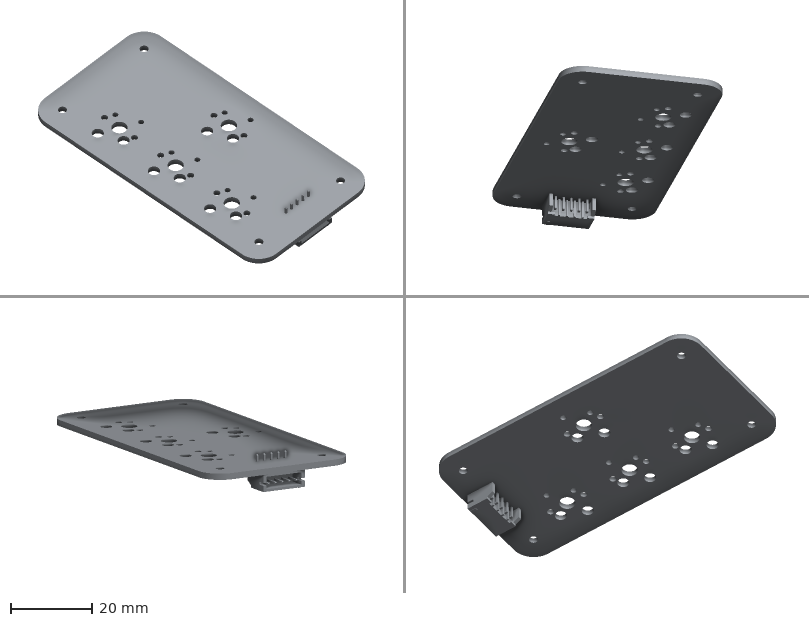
import cadquery as cq

BOARD_LENGTH = 78.55
BOARD_WIDTH = 41.2
BOARD_THICKNESS = 1.6
BOARD_CORNER_RADIUS = 6.0

MOUNT_HOLE_DIAMETER = 2.2
MOUNT_HOLE_X = 33.3
MOUNT_HOLE_Y = 14.6

SWITCH_ROW_SPAN = 38.1
SWITCH_PITCH = SWITCH_ROW_SPAN / 2
SWITCH_CENTRE_X = 0.15
SWITCH_CENTRE_Y = -9.4
GRID_STEPS_PER_PITCH = 15
GRID = SWITCH_PITCH / GRID_STEPS_PER_PITCH
SWITCH_POST_DIAMETER = 4.0
SWITCH_PEG_DIAMETER = 1.7
SWITCH_PIN_DIAMETER = 1.5
SOCKET_HOLE_DIAMETER = 3.0

PIN_COUNT = 5
PIN_ROW_LENGTH = 8.0
PIN_PITCH = PIN_ROW_LENGTH / (PIN_COUNT - 1)
PIN_SIZE = 0.5
PIN_HOLE_DIAMETER = 0.75
PIN_X = 31.2
PIN_TOP_Z = 3.4
PIN_TIP_X = 36.85
PIN_LEVEL_Z = -3.1
PIN_BEND_RADIUS = 0.2
PIN_TAPER_LENGTH = 0.2
PIN_TIP_SIZE = 0.15
CONNECTOR_Y = 1.3

HOUSING_BACK_X = 29.8
HOUSING_FRONT_X = 37.4
HOUSING_WIDTH = 11.9
HOUSING_HEIGHT = 4.8
HOUSING_TOP_GAP = 0.4
FOOT_BACK_X = 31.4
FOOT_TOP_Z = -4.2
FOOT_WIDTH = 1.8
CHEEK_WIDTH = 0.95
CHEEK_BACK_BOTTOM_Z = -3.2

CORE_BACK_X = 31.9
CORE_DRAFT = 0.15
BAND_TOP_Z = -2.5
BAND_BOTTOM_Z = -3.5
RIB_WIDTH = 0.5
END_RIB_WIDTH = 0.15

CAVITY_BACK_X = 33.0
CAVITY_WALL = 0.6
SLOT_BACK_X = 35.5
SLOT_TOP_Z = -2.5
SLOT_BOTTOM_Z = -3.2

MARK_BACK_X = 35.7
MARK_WIDTH = 0.8
MARK_HEIGHT = 0.1
MARK_OUTER_INSET = 1.0


def block(x_range, y_range, z_range):
    """Box between the given limits on each axis."""
    (x0, x1), (y0, y1), (z0, z1) = x_range, y_range, z_range
    return cq.Workplane("XY").box(x1 - x0, y1 - y0, z1 - z0, centered=False).translate((x0, y0, z0))


def side_profile(points, y_min, y_max):
    """Solid with the given X-Z outline, running from y_min to y_max."""
    outline = cq.Workplane("XZ", origin=(0, y_max, 0)).polyline(points).close()
    return outline.extrude(y_max - y_min)


def pin_positions():
    first = CONNECTOR_Y - PIN_ROW_LENGTH / 2
    return [first + PIN_PITCH * i for i in range(PIN_COUNT)]


def switch_holes(x, y):
    """(diameter, centres) of every hole under one key switch."""
    return [
        (SWITCH_POST_DIAMETER, [(x, y)]),
        (SWITCH_PEG_DIAMETER, [(x - 4 * GRID, y), (x + 4 * GRID, y)]),
        (SWITCH_PIN_DIAMETER, [(x - 3 * GRID, y + 2 * GRID), (x + 2 * GRID, y + 4 * GRID)]),
        (SOCKET_HOLE_DIAMETER, [(x + 3 * GRID, y - 2 * GRID), (x - 2 * GRID, y - 4 * GRID)]),
    ]


def make_board():
    board = cq.Workplane("XY").box(BOARD_LENGTH, BOARD_WIDTH, BOARD_THICKNESS, centered=(True, True, False))
    board = board.edges("|Z").fillet(BOARD_CORNER_RADIUS)

    mounts = [(sx * MOUNT_HOLE_X, sy * MOUNT_HOLE_Y) for sx in (-1, 1) for sy in (-1, 1)]
    pin_holes = [(PIN_X, y) for y in pin_positions()]
    holes = [(MOUNT_HOLE_DIAMETER, mounts), (PIN_HOLE_DIAMETER, pin_holes)]
    for column, row in [(-1, 0), (0, 0), (1, 0), (0, 1)]:
        holes += switch_holes(SWITCH_CENTRE_X + column * SWITCH_PITCH, SWITCH_CENTRE_Y + row * SWITCH_PITCH)

    for diameter, centres in holes:
        cutter = cq.Workplane("XY").pushPoints(centres).circle(diameter / 2).extrude(BOARD_THICKNESS)
        board = board.cut(cutter)
    return board


def make_core(y_min, y_max):
    """Middle of the housing; its back face leans in above and below a flat band."""
    points = [
        (CORE_BACK_X + CORE_DRAFT, -HOUSING_TOP_GAP),
        (CORE_BACK_X, BAND_TOP_Z),
        (CORE_BACK_X, BAND_BOTTOM_Z),
        (CORE_BACK_X + CORE_DRAFT, -HOUSING_HEIGHT),
        (HOUSING_FRONT_X, -HOUSING_HEIGHT),
        (HOUSING_FRONT_X, -HOUSING_TOP_GAP),
    ]
    return side_profile(points, y_min, y_max)


def make_cheek(y_min, y_max):
    """End wall of the housing, reaching up to the board and cut away at its lower back corner."""
    points = [
        (HOUSING_BACK_X, 0),
        (HOUSING_BACK_X, CHEEK_BACK_BOTTOM_Z),
        (FOOT_BACK_X, FOOT_TOP_Z),
        (FOOT_BACK_X, -HOUSING_HEIGHT),
        (HOUSING_FRONT_X, -HOUSING_HEIGHT),
        (HOUSING_FRONT_X, 0),
    ]
    return side_profile(points, y_min, y_max)


def make_housing():
    y_min = CONNECTOR_Y - HOUSING_WIDTH / 2
    y_max = CONNECTOR_Y + HOUSING_WIDTH / 2
    housing = make_core(y_min, y_max)
    housing = housing.union(make_cheek(y_min, y_min + CHEEK_WIDTH))
    housing = housing.union(make_cheek(y_max - CHEEK_WIDTH, y_max))

    for y0, y1 in [(y_min, y_min + FOOT_WIDTH), (y_max - FOOT_WIDTH, y_max)]:
        foot = block((FOOT_BACK_X, HOUSING_FRONT_X), (y0, y1), (-HOUSING_HEIGHT, FOOT_TOP_Z))
        housing = housing.union(foot)

    rib_spans = []
    for y in pin_positions()[:-1]:
        rib_y = y + PIN_PITCH / 2
        rib_spans.append((rib_y - RIB_WIDTH / 2, rib_y + RIB_WIDTH / 2))
    rib_spans.append((y_min + CHEEK_WIDTH, y_min + CHEEK_WIDTH + END_RIB_WIDTH))
    rib_spans.append((y_max - CHEEK_WIDTH - END_RIB_WIDTH, y_max - CHEEK_WIDTH))
    for span in rib_spans:
        rib = block((FOOT_BACK_X, HOUSING_FRONT_X), span, (-HOUSING_HEIGHT, -HOUSING_TOP_GAP))
        housing = housing.union(rib)

    cavity = block(
        (CAVITY_BACK_X, HOUSING_FRONT_X),
        (y_min + CHEEK_WIDTH, y_max - CHEEK_WIDTH),
        (-HOUSING_HEIGHT + CAVITY_WALL, -HOUSING_TOP_GAP - CAVITY_WALL),
    )
    slot = block((SLOT_BACK_X, HOUSING_FRONT_X), (y_min, y_max), (SLOT_BOTTOM_Z, SLOT_TOP_Z))
    housing = housing.cut(cavity).cut(slot)

    mark_y = y_max - MARK_OUTER_INSET
    mark = block(
        (MARK_BACK_X, HOUSING_FRONT_X),
        (mark_y - MARK_WIDTH, mark_y),
        (-HOUSING_HEIGHT - MARK_HEIGHT, -HOUSING_HEIGHT),
    )
    return housing.union(mark)


def pin_tip(plane, base_centre):
    """Tapered end of a pin, growing along the normal of the given plane."""
    return (
        cq.Workplane(plane, origin=base_centre)
        .rect(PIN_SIZE, PIN_SIZE)
        .workplane(offset=PIN_TAPER_LENGTH)
        .rect(PIN_TIP_SIZE, PIN_TIP_SIZE)
        .loft(ruled=True)
    )


def make_pin(y):
    """Square pin bent at a right angle, tapered at both ends."""
    half = PIN_SIZE / 2
    across = (y - half, y + half)
    upright_end = PIN_TOP_Z - PIN_TAPER_LENGTH
    level_end = PIN_TIP_X - PIN_TAPER_LENGTH
    upright_base = (
        block((PIN_X - half, PIN_X + half), across, (PIN_LEVEL_Z - half, upright_end))
        .edges("|Y and <X and <Z")
        .fillet(PIN_BEND_RADIUS)
    )
    level_base = block((PIN_X, level_end), across, (PIN_LEVEL_Z - half, PIN_LEVEL_Z + half))
    upright_tip = pin_tip("XY", (PIN_X, y, upright_end))
    level_tip = pin_tip("YZ", (level_end, y, PIN_LEVEL_Z))
    return upright_base.union(level_base).union(upright_tip).union(level_tip)


def make_connector():
    connector = make_housing()
    for y in pin_positions():
        connector = connector.union(make_pin(y))
    return connector


board = make_board()
connector = make_connector()

result = cq.Compound.makeCompound([board.val(), connector.val()])